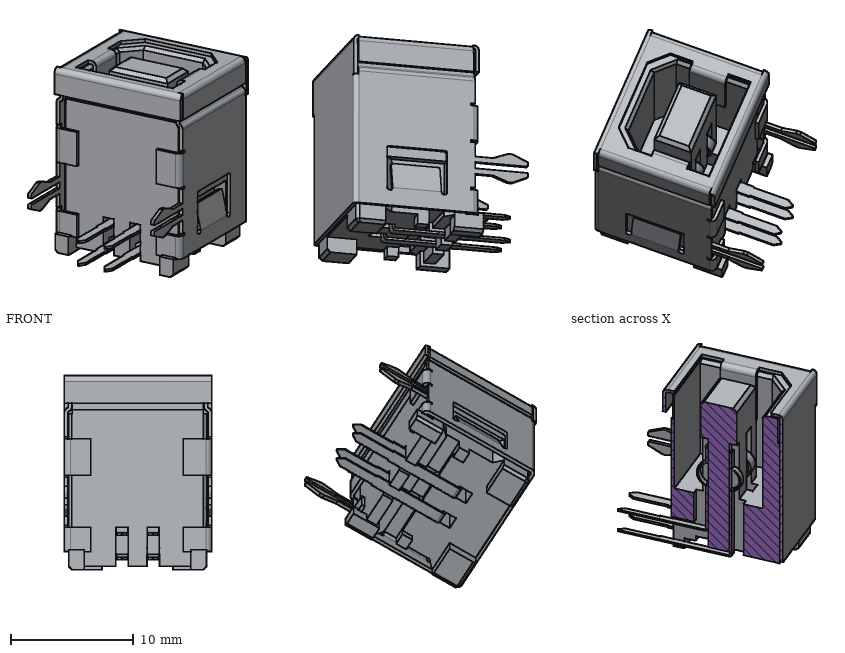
import cadquery as cq
import math


sheet = 0.3
shell_width = 12.07
half_width = shell_width / 2
shell_back_y = 10.67
shell_bottom_z = 1.5
shell_top_z = 15.9
bend_radius = 0.48
back_bend_radius = 0.41
cap_flap_bottom_z = 13.63
corner_wrap_top_z = 12.56

mouth_half_width = 4.63
mouth_front_y = 1.08
mouth_back_y = 9.59
mouth_corner = 1.46

spring_face_x = 3.85
spring_front_y = 3.02
spring_back_y = 6.15
spring_bottom_z = 11.13

wall_front_y = 0.33
step_bottom_z = 12.83
step_top_z = 13.35
step_gap = 0.03
step_inset = sheet + step_gap
step_wall_top_z = 15.35

left_tab_inner_x = -3.88
right_tab_inner_x = 3.7
tab_heights = [(shell_bottom_z, 3.48), (7.73, 10.72)]
relief_depth = 0.35
relief_height = 0.17

window_front_y = 2.72
window_back_y = 7.85
window_top_z = 6.6
window_radius = 0.2
latch_slot_width = 0.5
latch_slot_bottom_z = 2.81
latch_base_z = 3.05
latch_top_z = 5.26
latch_radius = 0.16
latch_inset = 0.5

prong_tip_y = -4.17
prong_bulge_start_y = -1.16
prong_bulge_y = -2.48
prong_bulge_end_y = -2.81
prong_center_z = 5.6
prong_inner = 0.27
prong_outer = 0.75
prong_bulge = 1.22
prong_tip_outer = 0.64
prong_tip_radius = 0.13

housing_offset_x = -0.03
housing_half_width = 5.65
housing_front_y = 0.76
housing_back_y = 10.35
housing_bottom_z = 1.29
housing_top_z = 15.52
housing_chamfer = 0.27
shoulder_z = 12.75
neck_half_width = 5.36
neck_bottom_z = 13.1
neck_inset = 0.13

cavity_half_width = 4.25
cavity_back_y = 8.84
cavity_corner = 1.4
cavity_floor_z = 6.36
lead_in = 0.3
tongue_half_width = 2.8
tongue_front_y = 3.35
tongue_back_y = 6.6
tongue_chamfer = 0.33
tongue_center_y = (tongue_front_y + tongue_back_y) / 2

recess_front_y = 2.0
recess_back_y = 7.84
recess_taper = 0.68
recess_top_z = 5.8

foot_chamfer = 0.27
front_foot_front_y = -0.48
front_foot_back_y = 2.0
front_foot_inner_x = 4.35
front_foot_lip_z = 1.62
back_foot_front_y = 7.84
back_foot_inner_x = 2.9
fit_gap = 0.03
front_wall_bottom_z = 0.29
front_wall_thickness = 0.95
post_front_y = 3.98
post_back_y = 4.93
post_inner_x = 3.98
post_outer_x = housing_half_width - recess_taper
post_bottom_z = 0.48
groove_front_y = 2.73
groove_top_z = 1.75

pin_x = 1.27
pin_thickness = 0.2
pin_width = 0.94
pin_tail_width = 0.78
pin_tail_start_y = -0.38
pin_taper_y = -3.45
pin_tip_y = -3.98
pin_tip_width = 0.13
upper_pin_z = 2.91
lower_pin_z = 0.92
pin_bend_radius = 0.32
leg_face_offset = 1.18
bow_reach = 1.99
bow_bottom_z = 7.31
bow_top_z = 9.54
leg_top_z = 11.13

channel_width = 1.0
channel_inner_offset = leg_face_offset - pin_thickness - fit_gap
channel_outer_offset = 2.18
channel_top_z = 11.92
front_slot_top_z = 3.47


def block(x0, x1, y0, y1, z0, z1):
    """Box between two opposite corners."""
    return cq.Workplane("XY").box(x1 - x0, y1 - y0, z1 - z0, centered=False).translate((x0, y0, z0))


def along_x(outline, x0, x1):
    """Extrude an outline drawn as (Y, Z) from x0 to x1."""
    return outline.extrude(x1 - x0).translate((x0, 0, 0))


def both_sides(left):
    """Left-hand shape together with its mirror image."""
    return left.union(left.mirror("YZ"))


def d_outline(half, front_y, back_y, corner):
    """Corner points of the plug outline: a rectangle with two cut back corners."""
    return [
        (-half, front_y),
        (half, front_y),
        (half, back_y - corner),
        (half - corner, back_y),
        (corner - half, back_y),
        (-half, back_y - corner),
    ]


def folded_strip(plane, corner, radius, ends):
    """Bent sheet outline with its outer corner at `corner`.

    `ends` holds the first-axis end of the first leg and the second-axis end of the other leg.
    """
    (u, v), (u_end, v_end) = corner, ends
    su = math.copysign(1, u_end - u)
    sv = math.copysign(1, v_end - v)
    center = (u + su * radius, v + sv * radius)
    inner = radius - sheet
    diagonal = math.sqrt(0.5)
    return (
        cq.Workplane(plane)
        .moveTo(u_end, v)
        .lineTo(center[0], v)
        .threePointArc(
            (center[0] - su * radius * diagonal, center[1] - sv * radius * diagonal), (u, center[1])
        )
        .lineTo(u, v_end)
        .lineTo(u + su * sheet, v_end)
        .lineTo(u + su * sheet, center[1])
        .threePointArc(
            (center[0] - su * inner * diagonal, center[1] - sv * inner * diagonal),
            (center[0], v + sv * sheet),
        )
        .lineTo(u_end, v + sv * sheet)
        .close()
    )


def shell_cap():
    """Top plate with its mouth, front and side flaps, and the back wall."""
    side_front_y = bend_radius
    side_back_y = shell_back_y - back_bend_radius
    plate = block(
        bend_radius - half_width, half_width - bend_radius,
        side_front_y, side_back_y, shell_top_z - sheet, shell_top_z,
    )
    front_flap = along_x(
        folded_strip("YZ", (0, shell_top_z), bend_radius, (mouth_front_y, cap_flap_bottom_z)),
        -half_width, half_width,
    )
    back_flap = along_x(
        folded_strip("YZ", (shell_back_y, shell_top_z), back_bend_radius, (mouth_back_y, corner_wrap_top_z)),
        -half_width, half_width,
    )
    side_flap = (
        folded_strip("XZ", (-half_width, shell_top_z), bend_radius, (-mouth_half_width, cap_flap_bottom_z))
        .extrude(side_front_y - side_back_y)
        .translate((0, side_front_y, 0))
    )
    mouth = (
        cq.Workplane("XY", origin=(0, 0, shell_top_z - sheet))
        .polyline(d_outline(mouth_half_width, mouth_front_y, mouth_back_y, mouth_corner))
        .close()
        .extrude(sheet)
    )
    middle = block(
        -half_width, half_width, side_front_y, side_back_y, shell_top_z - sheet, shell_top_z
    )
    cap = front_flap.union(back_flap).cut(middle).union(plate).union(both_sides(side_flap))
    return cap.cut(mouth)


def mouth_spring():
    """Left spring curving from the top plate down along the cavity wall."""
    return (
        folded_strip("XZ", (-spring_face_x, shell_top_z), bend_radius, (-mouth_half_width, spring_bottom_z))
        .extrude(spring_front_y - spring_back_y)
        .translate((0, spring_front_y, 0))
    )


def wrapped_wall():
    """Left half of the back wall, bent round the back corner into the side wall."""
    return (
        folded_strip("XY", (-half_width, shell_back_y), back_bend_radius, (0, wall_front_y))
        .extrude(corner_wrap_top_z - shell_bottom_z)
        .translate((0, 0, shell_bottom_z))
    )


def stepped_wall():
    """Upper left side wall, stepped inward through an S-bend to pass behind the cap flap."""
    outer = -half_width
    inner = outer + sheet
    rise = step_top_z - step_bottom_z
    turn = 2 * math.atan2(step_inset, rise)
    tight_radius = (rise / math.sin(turn) - sheet) / 2
    wide_radius = tight_radius + sheet

    def turned(x, radius):
        """End of the lower arc that starts upright at x and leans inward."""
        return (x + radius * (1 - math.cos(turn)), step_bottom_z + radius * math.sin(turn))

    profile = (
        cq.Workplane("XZ")
        .moveTo(outer, corner_wrap_top_z)
        .lineTo(outer, step_bottom_z)
        .tangentArcPoint(turned(outer, wide_radius), relative=False)
        .tangentArcPoint((outer + step_inset, step_top_z), relative=False)
        .lineTo(outer + step_inset, step_wall_top_z)
        .lineTo(inner + step_inset, step_wall_top_z)
        .lineTo(inner + step_inset, step_top_z)
        .tangentArcPoint(turned(inner, tight_radius), relative=False)
        .tangentArcPoint((inner, step_bottom_z), relative=False)
        .lineTo(inner, corner_wrap_top_z)
        .close()
    )
    length = shell_back_y - back_bend_radius - wall_front_y
    return profile.extrude(-length).translate((0, wall_front_y, 0))


def wall_reliefs():
    """Notches in the left wall's front edge that hold the folded tabs, with a gap past each tab end."""
    reliefs = cq.Workplane("XY")
    for bottom_z, top_z in tab_heights:
        reliefs = reliefs.union(
            block(
                -half_width, sheet - half_width, wall_front_y, wall_front_y + relief_depth,
                bottom_z - relief_height, top_z + relief_height,
            )
        )
    return reliefs


def front_tab(inner_x, bottom_z, top_z):
    """Tab folded from a side wall over the housing front, on the side where inner_x lies."""
    outer_x = math.copysign(half_width, inner_x)
    return (
        folded_strip("XY", (outer_x, 0), bend_radius, (inner_x, wall_front_y + relief_depth))
        .extrude(top_z - bottom_z)
        .translate((0, 0, bottom_z))
    )


def latch_window():
    """Opening around the left latch, with a round-ended slot down each side of it."""
    opening = block(
        -half_width, sheet - half_width, window_front_y, window_back_y, latch_base_z, window_top_z
    )
    opening = opening.faces(">Z").edges("|X").fillet(window_radius)
    slot_length = window_top_z - 2 * window_radius - latch_slot_bottom_z
    slot_y = [window_front_y + latch_slot_width / 2, window_back_y - latch_slot_width / 2]
    slots = (
        cq.Workplane("YZ", origin=(-half_width, 0, 0))
        .pushPoints([(y, latch_slot_bottom_z + slot_length / 2) for y in slot_y])
        .slot2D(slot_length, latch_slot_width, 90)
        .extrude(sheet)
    )
    return opening.union(slots)


def latch():
    """Left latch, hinged at its base and tilted inward."""
    height = latch_top_z - latch_base_z
    tilt = math.degrees(math.atan2(latch_inset, height))
    plate = block(
        -half_width, sheet - half_width,
        window_front_y + latch_slot_width, window_back_y - latch_slot_width,
        latch_base_z, latch_base_z + math.hypot(height, latch_inset),
    )
    plate = plate.faces(">Z").edges("|X").fillet(latch_radius)
    return plate.rotate((-half_width, 0, latch_base_z), (-half_width, 1, latch_base_z), tilt)


def board_lock():
    """Left forked board lock: two bulged prongs mirrored about its centre height."""
    upper = (
        cq.Workplane("YZ")
        .moveTo(wall_front_y + sheet, prong_inner)
        .lineTo(wall_front_y + sheet, prong_outer)
        .lineTo(prong_bulge_start_y, prong_outer)
        .lineTo(prong_bulge_y, prong_bulge)
        .lineTo(prong_bulge_end_y, prong_bulge)
        .lineTo(prong_tip_y, prong_tip_outer)
        .lineTo(prong_tip_y, prong_inner)
        .close()
        .extrude(sheet)
        .edges("|X and <Y")
        .fillet(prong_tip_radius)
    )
    fork = upper.union(upper.mirror("XY"))
    return fork.translate((-half_width, 0, prong_center_z))


def make_shell():
    side = wrapped_wall().union(stepped_wall()).cut(wall_reliefs()).cut(latch_window())
    side = side.union(latch()).union(board_lock()).union(mouth_spring())
    shell = shell_cap().union(both_sides(side))
    for bottom_z, top_z in tab_heights:
        for inner_x in (left_tab_inner_x, right_tab_inner_x):
            shell = shell.union(front_tab(inner_x, bottom_z, top_z))
    return shell


def housing_block():
    """Wide lower block, a narrower collar between the stepped walls, and the neck under the cap."""
    body = block(
        -housing_half_width, housing_half_width,
        housing_front_y, housing_back_y, housing_bottom_z, shoulder_z,
    )
    body = body.edges("|Z").chamfer(housing_chamfer)
    collar = block(
        -neck_half_width, neck_half_width, housing_front_y, housing_back_y, shoulder_z, neck_bottom_z
    )
    neck = block(
        -neck_half_width, neck_half_width,
        housing_front_y + neck_inset, housing_back_y - neck_inset, neck_bottom_z, housing_top_z,
    )
    return body.union(collar).union(neck)


def plug_cavity():
    """D-shaped cavity with a lead-in on every side but the front, less the tongue."""
    pocket = (
        cq.Workplane("XY", origin=(0, 0, cavity_floor_z))
        .polyline(d_outline(cavity_half_width, mouth_front_y, cavity_back_y, cavity_corner))
        .close()
        .extrude(housing_top_z - cavity_floor_z)
    )
    funnel = (
        cq.Workplane("XY", origin=(0, 0, housing_top_z - lead_in))
        .polyline(d_outline(cavity_half_width, mouth_front_y, cavity_back_y, cavity_corner))
        .close()
        .workplane(offset=lead_in)
        .polyline(
            d_outline(
                cavity_half_width + lead_in, mouth_front_y, cavity_back_y + lead_in, cavity_corner + lead_in
            )
        )
        .close()
        .loft(ruled=True)
    )
    tongue = block(
        -tongue_half_width, tongue_half_width,
        tongue_front_y, tongue_back_y, cavity_floor_z, housing_top_z,
    )
    tongue = tongue.faces(">Z").edges().chamfer(tongue_chamfer)
    return pocket.union(funnel).cut(tongue)


def latch_recess():
    """Tapered recess in the left side, open at the bottom, that clears the latch."""
    return (
        cq.Workplane("XY", origin=(0, 0, housing_bottom_z))
        .polyline([
            (-housing_half_width, recess_front_y),
            (recess_taper - housing_half_width, recess_front_y + recess_taper),
            (recess_taper - housing_half_width, recess_back_y - recess_taper),
            (-housing_half_width, recess_back_y),
        ])
        .close()
        .extrude(recess_top_z - housing_bottom_z)
    )


def front_foot():
    """Left front foot, with a lip that rises in front of the lowest tab."""
    foot = block(
        -housing_half_width, -front_foot_inner_x,
        front_foot_front_y, front_foot_back_y, 0, shell_bottom_z - fit_gap,
    )
    foot = foot.edges("<X and <Z").chamfer(foot_chamfer)
    lip = block(
        -housing_half_width, -front_foot_inner_x,
        front_foot_front_y, -fit_gap, housing_bottom_z, front_foot_lip_z,
    )
    return foot.union(lip)


def back_foot():
    """Left back foot, chamfered round its outer corner and underside."""
    foot = block(
        -housing_half_width, -back_foot_inner_x,
        back_foot_front_y, housing_back_y, 0, housing_bottom_z,
    )
    foot = foot.edges("<X and >Y").chamfer(housing_chamfer)
    return foot.faces("<Z").edges("not (>X or <Y)").chamfer(foot_chamfer)


def pin_channels():
    """Front slots for the pin tails and vertical channels along the tongue faces."""
    channels = cq.Workplane("XY")
    for x in (-pin_x, pin_x):
        x0 = x - channel_width / 2
        x1 = x + channel_width / 2
        front_channel = (tongue_center_y - channel_outer_offset, tongue_center_y - channel_inner_offset)
        back_channel = (tongue_center_y + channel_inner_offset, tongue_center_y + channel_outer_offset)
        channels = (
            channels
            .union(block(x0, x1, housing_front_y, front_channel[1], front_wall_bottom_z, front_slot_top_z))
            .union(block(x0, x1, *front_channel, housing_bottom_z, channel_top_z))
            .union(block(x0, x1, *back_channel, housing_bottom_z, channel_top_z))
        )
    return channels


def make_housing():
    front_wall = block(
        -front_foot_inner_x, front_foot_inner_x,
        housing_front_y, housing_front_y + front_wall_thickness, front_wall_bottom_z, housing_bottom_z,
    )
    post = block(
        -post_outer_x, -post_inner_x, post_front_y, post_back_y, post_bottom_z, housing_bottom_z
    )
    cross_groove = block(
        -housing_half_width, housing_half_width,
        groove_front_y, post_front_y, housing_bottom_z, groove_top_z,
    )
    housing = housing_block().cut(plug_cavity()).cut(both_sides(latch_recess()))
    housing = housing.union(both_sides(front_foot())).union(both_sides(back_foot()))
    housing = housing.union(front_wall).union(both_sides(post))
    housing = housing.cut(cross_groove).cut(pin_channels())
    return housing.translate((housing_offset_x, 0, 0))


def make_pin(x, tail_z, direction):
    """L-shaped contact whose leg bows out of the tongue face; direction is -1 front, +1 back."""
    leg_y = tongue_center_y + direction * (leg_face_offset - pin_thickness / 2)
    bow_y = tongue_center_y + direction * (bow_reach - pin_thickness / 2)
    half = pin_thickness / 2
    front_y = leg_y - half
    back_y = leg_y + half
    bow_z = (bow_bottom_z + bow_top_z) / 2
    inner_radius = pin_bend_radius - pin_thickness
    diagonal = 1 - math.sqrt(0.5)
    bottom_z = tail_z - half
    top_z = tail_z + half
    strip = (
        cq.Workplane("YZ")
        .moveTo(pin_tip_y, bottom_z)
        .lineTo(back_y - pin_bend_radius, bottom_z)
        .threePointArc(
            (back_y - pin_bend_radius * diagonal, bottom_z + pin_bend_radius * diagonal),
            (back_y, bottom_z + pin_bend_radius),
        )
        .lineTo(back_y, bow_bottom_z)
        .threePointArc((bow_y + half, bow_z), (back_y, bow_top_z))
        .lineTo(back_y, leg_top_z)
        .lineTo(front_y, leg_top_z)
        .lineTo(front_y, bow_top_z)
        .threePointArc((bow_y - half, bow_z), (front_y, bow_bottom_z))
        .lineTo(front_y, top_z + inner_radius)
        .threePointArc(
            (front_y - inner_radius * diagonal, top_z + inner_radius * diagonal),
            (front_y - inner_radius, top_z),
        )
        .lineTo(pin_tip_y, top_z)
        .close()
    )
    strip = along_x(strip, -pin_width / 2, pin_width / 2)
    plan = (
        cq.Workplane("XY")
        .polyline([
            (-pin_tip_width / 2, pin_tip_y),
            (pin_tip_width / 2, pin_tip_y),
            (pin_tail_width / 2, pin_taper_y),
            (pin_tail_width / 2, pin_tail_start_y),
            (pin_width / 2, pin_tail_start_y),
            (pin_width / 2, housing_back_y),
            (-pin_width / 2, housing_back_y),
            (-pin_width / 2, pin_tail_start_y),
            (-pin_tail_width / 2, pin_tail_start_y),
            (-pin_tail_width / 2, pin_taper_y),
        ])
        .close()
        .extrude(shell_top_z)
    )
    return strip.intersect(plan).translate((housing_offset_x + x, 0, 0))


shell = make_shell()
housing = make_housing()
pins = []
for tail_z, direction in ((upper_pin_z, -1), (lower_pin_z, 1)):
    for x in (-pin_x, pin_x):
        pins.append(make_pin(x, tail_z, direction))

bodies = [shell, housing, *pins]
result = cq.Compound.makeCompound([body.solids().val() for body in bodies])